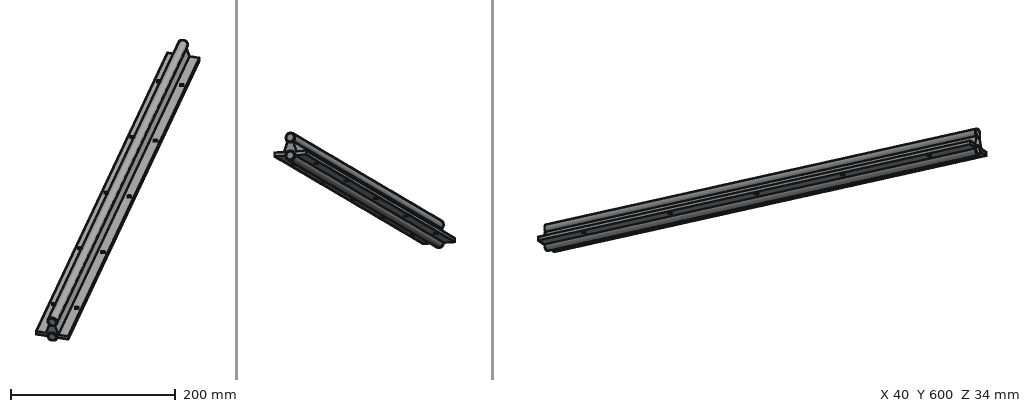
import cadquery as cq
import math

LENGTH = 600.0
WIDTH = 40.0
HEIGHT = 34.0

SHAFT_DIAMETER = 12.0
SHAFT_RADIUS = SHAFT_DIAMETER / 2
SHAFT_CHAMFER = 0.9
UPPER_SHAFT_Z = HEIGHT / 2 - SHAFT_RADIUS
LOWER_SHAFT_Z = -UPPER_SHAFT_Z

FLANGE_THICKNESS = 5.0
FLANGE_BOTTOM_Z = LOWER_SHAFT_Z
FLANGE_TOP_Z = FLANGE_BOTTOM_Z + FLANGE_THICKNESS
WEB_TOP_WIDTH = 7.0
WEB_FOOT_WIDTH = 15.5
WEB_TOP_Z = UPPER_SHAFT_Z - math.sqrt(SHAFT_RADIUS**2 - (WEB_TOP_WIDTH / 2) ** 2)

HOLE_DIAMETER = 4.5
HOLE_ROW_SPACING = 29.0
HOLE_PITCH = 120.0
HOLES_PER_ROW = 5


def extrude_along_length(profile):
    """Extrude an XZ profile over the full length, centred on Y = 0."""
    return profile.extrude(LENGTH).translate((0, LENGTH / 2, 0))


def make_cylinder(center_z):
    profile = cq.Workplane("XZ").center(0, center_z).circle(SHAFT_RADIUS)
    return extrude_along_length(profile)


def make_shaft(center_z):
    return make_cylinder(center_z).faces("<Y or >Y").chamfer(SHAFT_CHAMFER)


def make_rail():
    profile = (
        cq.Workplane("XZ")
        .moveTo(0, FLANGE_BOTTOM_Z)
        .lineTo(WIDTH / 2, FLANGE_BOTTOM_Z)
        .lineTo(WIDTH / 2, FLANGE_TOP_Z)
        .lineTo(WEB_FOOT_WIDTH / 2, FLANGE_TOP_Z)
        .lineTo(WEB_TOP_WIDTH / 2, WEB_TOP_Z)
        .lineTo(0, WEB_TOP_Z)
        .mirrorY()
    )
    rail = extrude_along_length(profile)

    for center_z in (UPPER_SHAFT_Z, LOWER_SHAFT_Z):
        rail = rail.cut(make_cylinder(center_z))

    holes = (
        cq.Workplane("XY", origin=(0, 0, FLANGE_BOTTOM_Z))
        .rarray(HOLE_ROW_SPACING, HOLE_PITCH, 2, HOLES_PER_ROW)
        .circle(HOLE_DIAMETER / 2)
        .extrude(FLANGE_THICKNESS)
    )
    return rail.cut(holes)


shafts = [make_shaft(center_z) for center_z in (UPPER_SHAFT_Z, LOWER_SHAFT_Z)]
rail = make_rail()

result = cq.Compound.makeCompound([rail.val(), *[shaft.val() for shaft in shafts]])